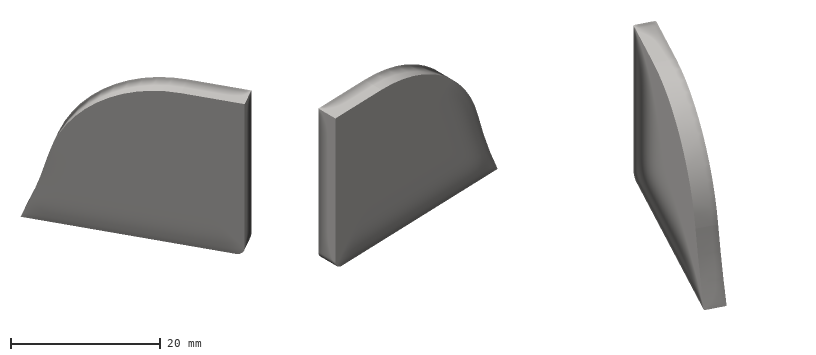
import cadquery as cq
import math

length = 31.2
thickness = 3.18
height = 25.4

top_flat_length = 8.85
blend_height = 11.0
nose_radius = 19.2
corner_radius = 1.25

nose_center_x = length - top_flat_length
nose_center_z = height - nose_radius
blend_angle = math.pi - math.asin((blend_height - nose_center_z) / nose_radius)
middle_angle = (math.pi / 2 + blend_angle) / 2


def nose_point(angle):
    """Point on the nose arc at an angle measured from +X."""
    return (
        nose_center_x + nose_radius * math.cos(angle),
        nose_center_z + nose_radius * math.sin(angle),
    )


profile = (
    cq.Workplane("XZ")
    .moveTo(length, 0)
    .lineTo(length, height)
    .lineTo(nose_center_x, height)
    .threePointArc(nose_point(middle_angle), nose_point(blend_angle))
    .tangentArcPoint((0, 0), relative=False)
    .close()
)

plate = profile.extrude(-thickness)

result = plate.edges("|Y").edges(">X").edges("<Z").fillet(corner_radius)